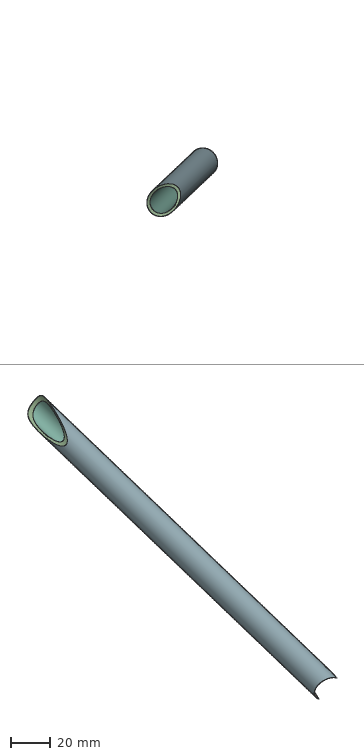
import cadquery as cq
import math

outer_radius = 7.5
wall = 1.4
bore_radius = outer_radius - wall

fall_angle = 44.2
lean_angle = 26.2

near_saddle_radius = 10.8
far_saddle_radius = outer_radius
crossing_y = 201.3

fall = math.radians(fall_angle)
lean = math.radians(lean_angle)
outward = cq.Vector(-math.cos(fall), 0, -math.sin(fall))
along_y = cq.Vector(0, math.cos(lean), 0)
tube_direction = outward * math.sin(lean) + along_y
crossing_direction = outward * math.sin(lean) - along_y

tube_length = crossing_y / math.cos(lean)
crossing_point = tube_direction * tube_length


def rod(radius, length, start, direction):
    """Solid cylinder of the given length from a start point."""
    return cq.Workplane(obj=cq.Solid.makeCylinder(radius, length, start, direction))


def saddle_cutter(radius, center, direction):
    """Long cylinder centred on a point, used to notch a tube end."""
    start = center - direction * tube_length
    return rod(radius, 2 * tube_length, start, direction)


end_overrun = 2 * outer_radius / math.sin(2 * lean)
stock_start = tube_direction * -end_overrun
stock_length = tube_length + 2 * end_overrun
stock = rod(outer_radius, stock_length, stock_start, tube_direction)
bore = rod(bore_radius, stock_length, stock_start, tube_direction)
tube = stock.cut(bore)

origin = cq.Vector(0, 0, 0)
near_saddle = saddle_cutter(near_saddle_radius, origin, cq.Vector(0, 1, 0))
far_saddle = saddle_cutter(far_saddle_radius, crossing_point, crossing_direction)
trimmed = tube.cut(near_saddle).cut(far_saddle)

pieces = trimmed.solids().vals()
main_piece = max(pieces, key=lambda piece: piece.Volume())
result = cq.Workplane(obj=main_piece)